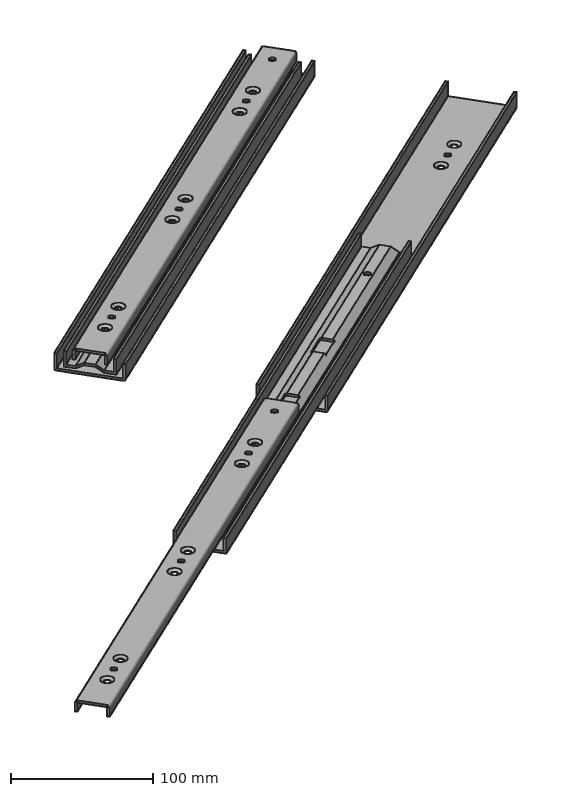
import cadquery as cq


OVERALL_WIDTH = 202.0
OVERALL_LENGTH = 925.0
OVERALL_HEIGHT = 19.0

SHEET = 2.0
BEND_RADIUS = 2.0

OUTER_WIDTH = 53.0
OUTER_HEIGHT = 14.0
RAIL_LENGTH = 450.0

MIDDLE_WIDTH = 39.0
MIDDLE_LENGTH = 440.0
MIDDLE_BOTTOM = 4.2
MIDDLE_TOP = 17.0
RIB_RISE = 4.0
RIB_TOP_WIDTH = 8.0
RIB_BASE_WIDTH = 21.0
MIDDLE_EXTENSION = 228.5

INNER_WIDTH = 26.0
INNER_BOTTOM = 11.0
INNER_EXTENSION = OVERALL_LENGTH - RAIL_LENGTH
END_NOTCH_DEPTH = 2.0

HOLE_DIAMETER = 5.0
COUNTERSINK_DIAMETER = 10.0
COUNTERSINK_ANGLE = 120
CUT_DEPTH = 2 * SHEET
GROUP_COUNT = 3
OUTER_FIRST_GROUP = 80.0
INNER_FIRST_GROUP = 78.0
GROUP_PITCH = 160.0
HOLE_PITCH = 16.0
INNER_REAR_HOLE = 16.0

MIDDLE_HOLE = 42.0
SLOT_LENGTH = 20.0
SLOT_WIDTH = 11.0
FIRST_SLOT = 148.0
SLOT_PITCH = 82.0


def extrude_rail(outline, length):
    """Extrude an XZ outline toward -Y from the rear end of a rail."""
    return outline.close().extrude(length)


def channel_outline(width, height, sheet):
    """Closed outline of an upright channel that stands on Z = 0."""
    half = width / 2
    return cq.Workplane("XZ").polyline([
        (-half, 0),
        (half, 0),
        (half, height),
        (half - sheet, height),
        (half - sheet, sheet),
        (sheet - half, sheet),
        (sheet - half, height),
        (-half, height),
    ])


def drill(rail, distances, top):
    """Cut plain holes down from `top` at distances from the rear end."""
    points = [(0, -distance) for distance in distances]
    holes = (
        cq.Workplane("XY", origin=(0, 0, top))
        .pushPoints(points)
        .circle(HOLE_DIAMETER / 2)
        .extrude(-CUT_DEPTH)
    )
    return rail.cut(holes)


def cut_mounting_holes(rail, first_group, top):
    """Cut the groups of plain and countersunk holes into a web whose upper face is at `top`."""
    groups = [first_group + i * GROUP_PITCH for i in range(GROUP_COUNT)]
    countersunk = [(0, -group + side * HOLE_PITCH) for group in groups for side in (-1, 1)]
    rail = drill(rail, groups, top)
    return (
        rail.copyWorkplane(cq.Workplane("XY", origin=(0, 0, top)))
        .pushPoints(countersunk)
        .cskHole(HOLE_DIAMETER, COUNTERSINK_DIAMETER, COUNTERSINK_ANGLE, depth=CUT_DEPTH)
    )


def make_outer_rail():
    rail = extrude_rail(channel_outline(OUTER_WIDTH, OUTER_HEIGHT, SHEET), RAIL_LENGTH)
    rail = rail.faces("<Z").edges("|Y").fillet(BEND_RADIUS)
    return cut_mounting_holes(rail, OUTER_FIRST_GROUP, SHEET)


def make_middle_rail():
    half = MIDDLE_WIDTH / 2
    inside = half - SHEET
    base = RIB_BASE_WIDTH / 2
    crest = RIB_TOP_WIDTH / 2
    floor = MIDDLE_BOTTOM + SHEET
    outline = cq.Workplane("XZ").polyline([
        (-half, MIDDLE_BOTTOM),
        (-base, MIDDLE_BOTTOM),
        (-crest, MIDDLE_BOTTOM + RIB_RISE),
        (crest, MIDDLE_BOTTOM + RIB_RISE),
        (base, MIDDLE_BOTTOM),
        (half, MIDDLE_BOTTOM),
        (half, MIDDLE_TOP),
        (inside, MIDDLE_TOP),
        (inside, floor),
        (base, floor),
        (crest, floor + RIB_RISE),
        (-crest, floor + RIB_RISE),
        (-base, floor),
        (-inside, floor),
        (-inside, MIDDLE_TOP),
        (-half, MIDDLE_TOP),
    ])
    rail = extrude_rail(outline, MIDDLE_LENGTH)
    rail = drill(rail, [MIDDLE_HOLE], floor + RIB_RISE)
    slots = (
        cq.Workplane("XY")
        .pushPoints([(0, -FIRST_SLOT), (0, -FIRST_SLOT - SLOT_PITCH)])
        .rect(SLOT_WIDTH, SLOT_LENGTH)
        .extrude(OVERALL_HEIGHT)
    )
    return rail.cut(slots)


def make_inner_rail():
    outline = channel_outline(INNER_WIDTH, OVERALL_HEIGHT - INNER_BOTTOM, SHEET)
    rail = extrude_rail(outline, RAIL_LENGTH)
    rail = rail.faces("<Z").edges("|Y").fillet(BEND_RADIUS)
    rail = rail.rotate((0, 0, 0), (0, 1, 0), 180).translate((0, 0, OVERALL_HEIGHT))
    rail = cut_mounting_holes(rail, INNER_FIRST_GROUP, OVERALL_HEIGHT)
    rail = drill(rail, [INNER_REAR_HOLE], OVERALL_HEIGHT)
    notch = (
        cq.Workplane("XY", origin=(0, -RAIL_LENGTH, INNER_BOTTOM))
        .rect(INNER_WIDTH - 2 * SHEET, 2 * END_NOTCH_DEPTH)
        .extrude(OVERALL_HEIGHT)
    )
    return rail.cut(notch)


def make_slide(x, middle_rear, inner_rear):
    """Three rails of one slide centred at `x`; the rear distances set how far it is open."""
    return [
        make_outer_rail().translate((x, 0, 0)).val(),
        make_middle_rail().translate((x, -middle_rear, 0)).val(),
        make_inner_rail().translate((x, -inner_rear, 0)).val(),
    ]


slide_offset = (OVERALL_WIDTH - OUTER_WIDTH) / 2
closed_slide = make_slide(-slide_offset, RAIL_LENGTH - MIDDLE_LENGTH, 0)
open_slide = make_slide(slide_offset, MIDDLE_EXTENSION, INNER_EXTENSION)

result = cq.Compound.makeCompound([*closed_slide, *open_slide])